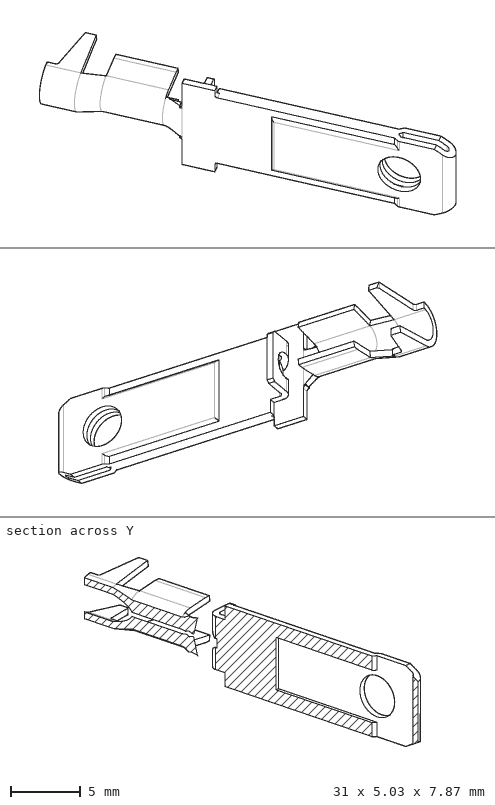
import cadquery as cq
import math

SHEET = 0.5

INSULATION_END = 2.65
WIRE_START = 4.4
WIRE_END = 9.1
SHOULDER_START = 10.57
SHOULDER_END = 13.05
LENGTH = 31.04

INSULATION_RADIUS = 1.77
INSULATION_FLARE = 10.5
INSULATION_BOTTOM = -1.05
INSULATION_TOP = 3.98
ARM_ROOT_Y = 0.69
ARM_TIP_LENGTH = 0.8
ARM_CORNER_RADIUS = 0.2

WIRE_RADIUS = 1.57
WIRE_FLARE = 7.0
WIRE_BOTTOM = -SHEET
WIRE_TOP = 3.1
WIRE_HALF_WIDTH = 1.77

NECK_HALF_ANGLE = 63.0
NECK_HALF_WIDTH = 1.5
CORNER_RADIUS = 0.2

BLADE_WIDTH = 6.35
SHOULDER_ABOVE = 0.64
SHOULDER_BELOW = 0.88

STOP_START = 11.49
STOP_HALF_WIDTH = 2.1
STOP_TOP = 2.64
STOP_BEND_RADIUS = 0.3
STOP_CHAMFER = 0.2
STOP_HOLE_DIAMETER = 2.0
STOP_HOLE_Y = 0.95

TIP_RADIUS = 0.75
LAYER_OFFSET = TIP_RADIUS - SHEET
RAMP_START = 26.6
RAMP_END = 26.95
GAP_DELAY = 0.15
RAMP_ROUND = 0.3
TIP_CENTER = LENGTH - TIP_RADIUS
TIP_CHAMFER_LENGTH = 1.35
TIP_CHAMFER_WIDTH = 0.78
HOLE_X = 27.03
HOLE_DIAMETER = 3.22

PANEL_START = 17.35
PANEL_HALF_WIDTH = 2.54
PANEL_ROUND = LAYER_OFFSET


def box(x_range, y_range, z_range):
    size = [high - low for low, high in (x_range, y_range, z_range)]
    corner = cq.Vector(x_range[0], y_range[0], z_range[0])
    return cq.Workplane(cq.Solid.makeBox(*size, corner))


def arc_point(radius, center_y, angle):
    """Point (Y, Z) on a barrel arc, with the angle in degrees from the lowest point."""
    turn = math.radians(angle)
    return (center_y - radius * math.cos(turn), radius * math.sin(turn))


def trough_section(plane, outer_radius, bottom_y, half_angle):
    """Curved strip of sheet thickness, open towards +Y."""
    center_y = bottom_y + outer_radius
    inner_radius = outer_radius - SHEET
    return (
        plane.moveTo(*arc_point(outer_radius, center_y, -half_angle))
        .threePointArc((bottom_y, 0), arc_point(outer_radius, center_y, half_angle))
        .lineTo(*arc_point(inner_radius, center_y, half_angle))
        .threePointArc((bottom_y + SHEET, 0), arc_point(inner_radius, center_y, -half_angle))
        .close()
    )


def section_at(x):
    return cq.Workplane("YZ", origin=(x, 0, 0))


def trough(x_start, x_end, outer_radius, bottom_y, half_angle):
    plane = section_at(x_start)
    return trough_section(plane, outer_radius, bottom_y, half_angle).extrude(x_end - x_start)


def upper_arm(x_start, x_end, outer_radius, bottom_y, flare, top_y):
    """Straight arm on the +Z side, tangent to the trough, ending square to its own direction."""
    center_y = bottom_y + outer_radius
    outer_root = arc_point(outer_radius, center_y, 90 - flare)
    inner_root = arc_point(outer_radius - SHEET, center_y, 90 - flare)
    rise = top_y - inner_root[0]
    spread = rise * math.tan(math.radians(flare))
    return (
        section_at(x_start)
        .moveTo(*outer_root)
        .lineTo(outer_root[0] + rise, outer_root[1] + spread)
        .lineTo(inner_root[0] + rise, inner_root[1] + spread)
        .lineTo(*inner_root)
        .close()
        .extrude(x_end - x_start)
    )


def insulation_barrel():
    size = (INSULATION_RADIUS, INSULATION_BOTTOM)
    base = trough(0, INSULATION_END, *size, 90 - INSULATION_FLARE)
    arm = upper_arm(0, INSULATION_END, *size, INSULATION_FLARE, INSULATION_TOP)
    outline = (
        cq.Workplane("XY")
        .moveTo(0, INSULATION_BOTTOM)
        .lineTo(INSULATION_END, INSULATION_BOTTOM)
        .lineTo(INSULATION_END, INSULATION_TOP)
        .lineTo(INSULATION_END - ARM_TIP_LENGTH, INSULATION_TOP)
        .lineTo(ARM_TIP_LENGTH, ARM_ROOT_Y)
        .lineTo(0, ARM_ROOT_Y)
        .close()
        .extrude(INSULATION_TOP)
    )
    slope_ends = cq.selectors.BoxSelector(
        (ARM_TIP_LENGTH / 2, 0, 0), (INSULATION_END - ARM_TIP_LENGTH / 2, LENGTH, LENGTH)
    )
    outline = outline.edges("|Z").edges(slope_ends).fillet(ARM_CORNER_RADIUS)
    arm = arm.intersect(outline)
    middle = INSULATION_END / 2
    lower_arm = arm.rotate((middle, 0, 0), (middle, 1, 0), 180)
    return base.union(arm).union(lower_arm)


def barrel_transition():
    start = trough_section(
        section_at(INSULATION_END), INSULATION_RADIUS, INSULATION_BOTTOM, 90 - INSULATION_FLARE
    )
    end_plane = start.workplane(offset=WIRE_START - INSULATION_END)
    return trough_section(end_plane, WIRE_RADIUS, WIRE_BOTTOM, 90 - WIRE_FLARE).loft(ruled=True)


def wire_barrel():
    size = (WIRE_RADIUS, WIRE_BOTTOM)
    base = trough(WIRE_START, WIRE_END, *size, 90 - WIRE_FLARE)
    arm = upper_arm(WIRE_START, WIRE_END, *size, WIRE_FLARE, WIRE_TOP)
    limit = box((WIRE_START, WIRE_END), (WIRE_BOTTOM, WIRE_TOP), (0, WIRE_HALF_WIDTH))
    arm = arm.intersect(limit)
    return base.union(arm).union(arm.mirror("XY"))


def neck():
    start = trough_section(section_at(WIRE_END), WIRE_RADIUS, WIRE_BOTTOM, NECK_HALF_ANGLE)
    funnel = (
        start.workplane(offset=SHOULDER_START - WIRE_END)
        .moveTo(-SHEET, -NECK_HALF_WIDTH)
        .lineTo(-SHEET, NECK_HALF_WIDTH)
        .lineTo(0, NECK_HALF_WIDTH)
        .lineTo(0, -NECK_HALF_WIDTH)
        .close()
        .loft(ruled=True)
    )
    web = neck_corner()
    return funnel.union(web).union(web.mirror("XY"))


def neck_corner():
    """Concave web between the upper edge of the neck and the shoulder."""
    wide = NECK_HALF_WIDTH + CORNER_RADIUS
    bulge = CORNER_RADIUS * math.sqrt(0.5)
    root = NECK_HALF_WIDTH - CORNER_RADIUS / 2
    start = SHOULDER_START - CORNER_RADIUS
    return (
        cq.Workplane("XZ")
        .moveTo(start, root)
        .lineTo(start, NECK_HALF_WIDTH)
        .threePointArc((start + bulge, wide - bulge), (SHOULDER_START, wide))
        .lineTo(SHOULDER_START, root)
        .close()
        .extrude(SHEET)
    )


def shoulder():
    half = BLADE_WIDTH / 2
    plate = box(
        (SHOULDER_START, SHOULDER_END), (-SHEET, 0), (-half - SHOULDER_BELOW, half + SHOULDER_ABOVE)
    )
    foot = box((SHOULDER_END, SHOULDER_END + 2 * CORNER_RADIUS), (-SHEET, 0), (-half, half))
    reach = CORNER_RADIUS / 2
    at_corner = cq.selectors.BoxSelector(
        (SHOULDER_END - reach, -SHEET, -half - reach), (SHOULDER_END + reach, 0, half + reach)
    )
    return plate.union(foot).edges("|Y").edges(at_corner).fillet(CORNER_RADIUS)


def stop_tab():
    outer_bend = STOP_BEND_RADIUS + SHEET
    profile = (
        cq.Workplane("XY", origin=(0, 0, -STOP_HALF_WIDTH))
        .moveTo(SHOULDER_END, 0)
        .lineTo(STOP_START + outer_bend, 0)
        .radiusArc((STOP_START, outer_bend), outer_bend)
        .lineTo(STOP_START, STOP_TOP)
        .lineTo(STOP_START + SHEET, STOP_TOP)
        .lineTo(STOP_START + SHEET, outer_bend)
        .radiusArc((STOP_START + outer_bend, SHEET), -STOP_BEND_RADIUS)
        .lineTo(SHOULDER_END, SHEET)
        .close()
        .extrude(2 * STOP_HALF_WIDTH)
    )
    tab = profile.faces(">Y").edges("|X").chamfer(STOP_CHAMFER)
    hole = section_at(STOP_START).center(STOP_HOLE_Y, 0).circle(STOP_HOLE_DIAMETER / 2)
    return tab.cut(hole.extrude(outer_bend))


def blade_envelope():
    """Both layers as one block with the ramps, folded tip and chamfered tip corners."""
    half = BLADE_WIDTH / 2
    block = (
        cq.Workplane("XY", origin=(0, 0, -half))
        .moveTo(SHOULDER_END, -SHEET)
        .lineTo(RAMP_START, -SHEET)
        .lineTo(RAMP_END, -TIP_RADIUS)
        .lineTo(TIP_CENTER, -TIP_RADIUS)
        .threePointArc((LENGTH, 0), (TIP_CENTER, TIP_RADIUS))
        .lineTo(RAMP_END, TIP_RADIUS)
        .lineTo(RAMP_START, SHEET)
        .lineTo(SHOULDER_END, SHEET)
        .close()
        .extrude(BLADE_WIDTH)
    )
    ramp_tops = cq.selectors.BoxSelector(
        (RAMP_END - LAYER_OFFSET / 2, -LENGTH, -LENGTH), (RAMP_END + LAYER_OFFSET / 2, LENGTH, LENGTH)
    )
    block = block.edges("|Z").edges(ramp_tops).fillet(RAMP_ROUND)
    outline = (
        cq.Workplane("XZ", origin=(0, TIP_RADIUS, 0))
        .moveTo(SHOULDER_END, -half)
        .lineTo(LENGTH - TIP_CHAMFER_LENGTH, -half)
        .lineTo(LENGTH, TIP_CHAMFER_WIDTH - half)
        .lineTo(LENGTH, half - TIP_CHAMFER_WIDTH)
        .lineTo(LENGTH - TIP_CHAMFER_LENGTH, half)
        .lineTo(SHOULDER_END, half)
        .close()
        .extrude(2 * TIP_RADIUS)
    )
    return block.intersect(outline)


def raised_panel():
    """Panel standing proud of both layers, rounded where it leaves them."""
    end = RAMP_END + PANEL_ROUND
    panel = box(
        (PANEL_START, end), (-TIP_RADIUS, TIP_RADIUS), (-PANEL_HALF_WIDTH, PANEL_HALF_WIDTH)
    )
    return panel.faces("<Y or >Y").edges("|X or <X").fillet(PANEL_ROUND)


def layer_gap():
    """Space between the layers: open across the folded tip, a hollow under the panel."""
    apex = RAMP_START + GAP_DELAY
    opening = (
        cq.Workplane("XY", origin=(0, 0, -BLADE_WIDTH / 2))
        .moveTo(apex, 0)
        .lineTo(apex + LAYER_OFFSET, -LAYER_OFFSET)
        .lineTo(TIP_CENTER, -LAYER_OFFSET)
        .threePointArc((TIP_CENTER + LAYER_OFFSET, 0), (TIP_CENTER, LAYER_OFFSET))
        .lineTo(apex + LAYER_OFFSET, LAYER_OFFSET)
        .close()
        .extrude(BLADE_WIDTH)
    )
    pocket_half_width = PANEL_HALF_WIDTH - SHEET
    pocket = box(
        (PANEL_START + SHEET, TIP_CENTER),
        (-LAYER_OFFSET, LAYER_OFFSET),
        (-pocket_half_width, pocket_half_width),
    )
    return opening.union(pocket)


def blade():
    hole = cq.Workplane("XZ", origin=(HOLE_X, TIP_RADIUS, 0)).circle(HOLE_DIAMETER / 2)
    hole = hole.extrude(2 * TIP_RADIUS)
    return blade_envelope().union(raised_panel()).cut(layer_gap()).cut(hole)


result = blade()
for section in (shoulder(), stop_tab(), neck(), wire_barrel(), barrel_transition(), insulation_barrel()):
    result = result.union(section)